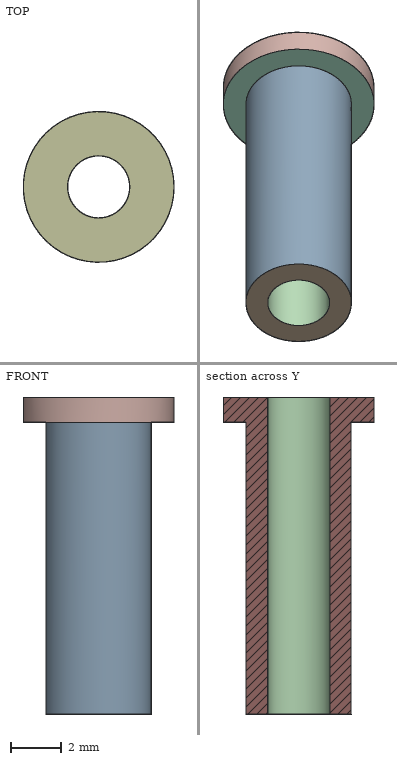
import cadquery as cq

total_height = 12.6
flange_thickness = 1.0
flange_diameter = 6.0
barrel_diameter = 4.2
bore_diameter = 2.46

barrel_height = total_height - flange_thickness

barrel = cq.Workplane("XY").circle(barrel_diameter / 2).extrude(barrel_height)

flange = (
    cq.Workplane("XY")
    .workplane(offset=barrel_height)
    .circle(flange_diameter / 2)
    .extrude(flange_thickness)
)

bore = cq.Workplane("XY").circle(bore_diameter / 2).extrude(total_height)

result = barrel.union(flange).cut(bore)